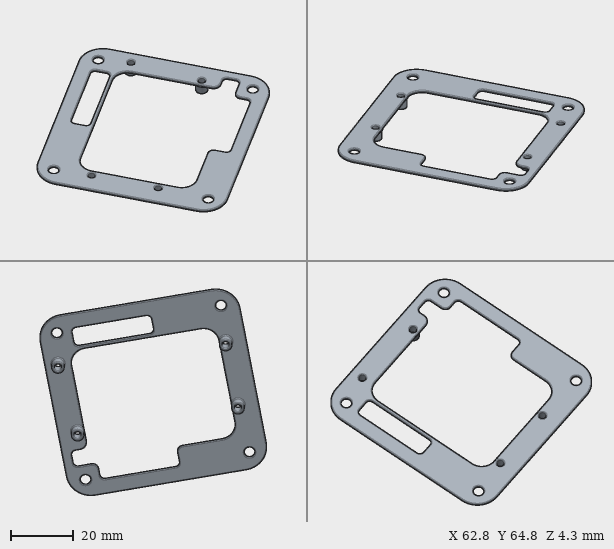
import cadquery as cq
import math

plate_width = 62.8
plate_length = 64.8
plate_thickness = 1.0
plate_corner_radius = 8.0

edge_round = 0.3

mount_hole_diameter = 3.4
mount_spacing_x = 51.1
mount_spacing_y = 53.1

total_height = 4.3
standoff_diameter = 4.0
standoff_bore = 2.3
standoff_centers = [(-15.15, 28.1), (8.8, 26.1), (-13.2, -25.85), (8.8, -25.85)]

window_left = -18.8
window_right = 19.6
window_top = 23.9
window_bottom = -23.8
window_corner_radius = 5.0
bay_right = 26.4
bay_top = 21.8
bay_bottom = -3.95
notch_left = 15.1
notch_right = 20.7
notch_top = 29.4
inner_corner_radius = 1.5
ledge_corner_radius = 2.0
notch_mouth_radius = 2.5

slot_left = -bay_right
slot_right = -20.0

arc_inset = edge_round * (1 - math.sqrt(0.5))


def make_plate():
    plate = cq.Workplane("XY").rect(plate_width, plate_length).extrude(-plate_thickness)
    return plate.edges("|Z").fillet(plate_corner_radius)


def round_corners(body, corners, radius):
    """Fillet the vertical edges of a cutter that stand on the given XY corners."""
    tolerance = 0.005

    def stands_on_corner(edge):
        middle = edge.Center()
        return any(math.hypot(middle.x - x, middle.y - y) < tolerance for x, y in corners)

    return body.edges("|Z").filter(stands_on_corner).fillet(radius)


def make_window():
    """Cutter for the main window together with its notch and bay."""
    large_corners = [
        (window_right, window_bottom),
        (window_left, window_bottom),
        (window_left, window_top),
    ]
    notch_mouth = (notch_left, window_top)
    notch_to_bay = (notch_right, bay_top)
    bay_step = (window_right, bay_bottom)
    inner_corners = [
        (notch_left, notch_top),
        (notch_right, notch_top),
        (bay_right, bay_top),
        (bay_right, bay_bottom),
    ]
    outline = [
        *large_corners,
        notch_mouth,
        *inner_corners[:2],
        notch_to_bay,
        *inner_corners[2:],
        bay_step,
    ]
    window = cq.Workplane("XY").polyline(outline).close().extrude(-total_height)
    window = round_corners(window, large_corners, window_corner_radius)
    window = round_corners(window, inner_corners, inner_corner_radius)
    window = round_corners(window, [notch_to_bay, bay_step], ledge_corner_radius)
    return round_corners(window, [notch_mouth], notch_mouth_radius)


def make_slot():
    slot_size = (slot_right - slot_left, bay_top - bay_bottom)
    slot_center = ((slot_left + slot_right) / 2, (bay_bottom + bay_top) / 2)
    slot = cq.Workplane("XY").center(*slot_center).rect(*slot_size).extrude(-plate_thickness)
    return slot.edges("|Z").fillet(inner_corner_radius)


def make_standoff():
    """Post with a rounded free end and a fillet flaring into the plate."""
    radius = standoff_diameter / 2
    flare_radius = radius + edge_round
    base = -plate_thickness
    embed = base + edge_round
    profile = (
        cq.Workplane("XZ")
        .moveTo(0, embed)
        .lineTo(flare_radius, embed)
        .lineTo(flare_radius, base)
        .threePointArc((radius + arc_inset, base - arc_inset), (radius, base - edge_round))
        .lineTo(radius, -total_height + edge_round)
        .threePointArc(
            (radius - arc_inset, -total_height + arc_inset),
            (radius - edge_round, -total_height),
        )
        .lineTo(0, -total_height)
        .close()
    )
    return profile.revolve(360, (0, 0, 0), (0, 1, 0))


def make_bore():
    """Cutter for a standoff bore, with a rounded mouth at both ends."""
    radius = standoff_bore / 2
    mouth_radius = radius + edge_round
    profile = (
        cq.Workplane("XZ")
        .lineTo(mouth_radius, 0)
        .threePointArc((radius + arc_inset, -arc_inset), (radius, -edge_round))
        .lineTo(radius, -total_height + edge_round)
        .threePointArc(
            (radius + arc_inset, -total_height + arc_inset),
            (mouth_radius, -total_height),
        )
        .lineTo(0, -total_height)
        .close()
    )
    return profile.revolve(360, (0, 0, 0), (0, 1, 0))


window = make_window()

plate = make_plate().cut(window).cut(make_slot())
plate = (
    plate.faces(">Z").workplane(origin=(0, 0, 0))
    .rect(mount_spacing_x, mount_spacing_y, forConstruction=True)
    .vertices().hole(mount_hole_diameter)
)
plate = plate.faces("<Z or >Z").edges().fillet(edge_round)

result = plate
for x, y in standoff_centers:
    standoff = make_standoff().translate((x, y, 0)).cut(window)
    bore = make_bore().translate((x, y, 0))
    result = result.union(standoff).cut(bore)